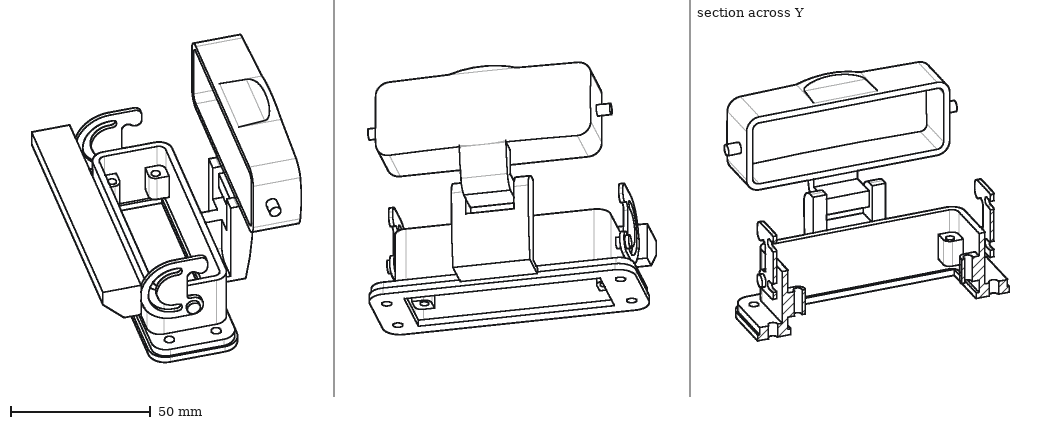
import cadquery as cq
import math


flange_length = 98.0
flange_width = 33.1
flange_radius = 6.4
flange_step_height = 2.45
upper_flange_length = 96.6
upper_flange_width = 31.0
upper_flange_radius = 5.5
flange_height = 5.4
flange_hole_radius = 1.8
flange_hole_x = 43.0
flange_hole_y = 8.7

housing_length = 79.2
housing_width = 29.6
housing_height = 26.2
corner_radius = 5.0
wall = 2.45
ledge = 1.1

post_top = 17.15
post_height = 10.0
post_edge = 2.7
post_x = 33.1
post_y = 8.1
post_radius = 2.45
post_hole_radius = 1.6

pivot_z = 19.2
pin_radius = 2.1
pin_head_radius = 2.45
pin_tip_x = 44.5
lever_thickness = 1.6
lever_outer_x = 43.1
lever_eye_radius = 3.9
lever_arc_radius = 12.9
lever_arc_y = -6.6
lever_arc_z = pivot_z - lever_eye_radius + lever_arc_radius
lever_top = lever_arc_z + lever_arc_radius
neck_fillet = 1.3
catch_z = 33.1
nose_radius = 2.4
nose_top_radius = 2.7
lever_slot_radius = 8.4
lever_slot_width = 3.1
lever_slot_end_y = -5.6
tang_width = 4.1

bar_length = 92.1
bar_back_y = -20.2
bar_depth = 14.2
bar_top = 36.2
bar_bottom = 22.3
bar_chamfer = 7.9

bracket_width = 28.3
bracket_bottom = 1.8
bracket_plate_top = 4.1
bracket_front_y = 22.4
bracket_foot_y = 28.1
bracket_back_y = 30.9
bracket_top = 36.3
bracket_top_radius = 5.9
bracket_middle_y = 30.2
bracket_middle_z = 16.3
bracket_floor = 21.6
fork_gap = 17.7
rib_width = 5.8
rib_fillet = 4.1
hinge_pin_radius = 1.5

cover_open_y = 23.5
cover_back_y = 42.8
cover_height = 29.4
cover_center_z = 57.5
cover_crown_x = 1.3
cover_crown_z = 0.9
cover_pin_y = 30.4
cover_pin_radius = 2.1

grip_width = 24.9
grip_height = 2.1
grip_front_y = 26.0
grip_pad_height = 0.2
grip_scoop_start_y = 35.8
grip_scoop_radius = 4.8

arm_width = 17.15
arm_inner_y = 35.0
arm_end_y = 24.6
arm_top = 33.3
arm_bottom = 26.9
arm_middle_y = 41.0
arm_middle_z = 36.6
arm_bend_y = 39.6
arm_bend_z = 31.4

overlap = 1.0


def rounded_block(length, width, height, radius):
    return cq.Workplane("XY").rect(length, width).extrude(height).edges("|Z").fillet(radius)


def prism_along_x(profile, x_min, x_max):
    """Extrude a closed YZ profile between two X positions."""
    return profile.extrude(x_max - x_min).translate((x_min, 0, 0))


def rod_along_x(y, z, radius, x_min, x_max):
    profile = cq.Workplane("YZ").center(y, z).circle(radius)
    return prism_along_x(profile, x_min, x_max)


def both_ends(shape):
    return shape.union(shape.mirror("YZ"))


def corner_points(x, y):
    return [(sx * x, sy * y) for sx in (-1, 1) for sy in (-1, 1)]


def make_housing():
    housing = (
        rounded_block(flange_length, flange_width, flange_step_height, flange_radius)
        .union(rounded_block(upper_flange_length, upper_flange_width, flange_height, upper_flange_radius))
        .union(rounded_block(housing_length, housing_width, housing_height, corner_radius))
    )
    return housing.union(make_bracket())


def hollow_housing(housing):
    cavity_length = housing_length - 2 * wall
    cavity_width = housing_width - 2 * wall
    cavity = rounded_block(cavity_length, cavity_width, housing_height, corner_radius - wall)
    opening = (
        cq.Workplane("XY")
        .rect(cavity_length - 2 * ledge, cavity_width - 2 * ledge)
        .extrude(housing_height)
    )
    housing = housing.cut(cavity.translate((0, 0, flange_step_height))).cut(opening)

    for x, y in corner_points(1, 1):
        housing = housing.union(make_post(x, y))
    post_holes = (
        cq.Workplane("XY")
        .pushPoints(corner_points(post_x, post_y))
        .circle(post_hole_radius)
        .extrude(post_top)
    )
    flange_holes = (
        cq.Workplane("XY")
        .pushPoints(corner_points(flange_hole_x, flange_hole_y))
        .circle(flange_hole_radius)
        .extrude(flange_height)
    )
    return housing.cut(post_holes).cut(flange_holes)


def make_post(side_x, side_y):
    """A screw post hung in one corner, rounded toward the middle and merging into the walls."""
    inner_x = post_x - post_edge
    inner_y = post_y - post_edge
    outer_x = (housing_length - wall) / 2
    outer_y = (housing_width - wall) / 2
    post = (
        cq.Workplane("XY")
        .moveTo(inner_x, outer_y)
        .lineTo(inner_x, inner_y + post_radius)
        .radiusArc((inner_x + post_radius, inner_y), -post_radius)
        .lineTo(outer_x, inner_y)
        .lineTo(outer_x, outer_y)
        .close()
        .extrude(post_height)
        .translate((0, 0, post_top - post_height))
    )
    mid_wall_block = rounded_block(
        housing_length - wall,
        housing_width - wall,
        post_top,
        corner_radius - wall / 2,
    )
    post = post.intersect(mid_wall_block)
    if side_x < 0:
        post = post.mirror("YZ")
    if side_y < 0:
        post = post.mirror("XZ")
    return post


def make_bracket():
    """Upright fork behind the housing, on a foot plate and a filleted central rib."""
    half_width = bracket_width / 2
    profile = (
        cq.Workplane("YZ")
        .moveTo(0, bracket_bottom)
        .lineTo(bracket_foot_y, bracket_bottom)
        .threePointArc(
            (bracket_middle_y, bracket_middle_z),
            (bracket_back_y, bracket_top - bracket_top_radius),
        )
        .radiusArc((bracket_back_y - bracket_top_radius, bracket_top), -bracket_top_radius)
        .lineTo(bracket_front_y, bracket_top)
        .lineTo(bracket_front_y, bracket_plate_top)
        .lineTo(0, bracket_plate_top)
        .close()
    )
    fork_slot = (
        cq.Workplane("XY", origin=(0, bracket_front_y, bracket_floor))
        .rect(fork_gap, bracket_width)
        .extrude(bracket_top)
    )
    half_rib = rib_width / 2
    rib = (
        cq.Workplane("XZ", origin=(0, bracket_front_y, 0))
        .moveTo(-half_rib, bracket_floor)
        .lineTo(-half_rib, bracket_plate_top + rib_fillet)
        .radiusArc((-half_rib - rib_fillet, bracket_plate_top), rib_fillet)
        .lineTo(half_rib + rib_fillet, bracket_plate_top)
        .radiusArc((half_rib, bracket_plate_top + rib_fillet), rib_fillet)
        .lineTo(half_rib, bracket_floor)
        .close()
        .extrude(bracket_front_y)
    )
    return prism_along_x(profile, -half_width, half_width).cut(fork_slot).union(rib)


def make_lever():
    """The -X lever plate: an eye on the pivot, a hooked catch and a curved slot."""
    x_min = -lever_outer_x
    x_max = x_min + lever_thickness

    diagonal = math.sqrt(0.5)
    nose_y = (pin_radius + nose_radius) * diagonal
    nose_z = catch_z + nose_y
    touch_y = pin_radius * diagonal
    touch_z = catch_z + touch_y
    nose_left = nose_y + nose_radius

    fillet_y = -pin_radius + neck_fillet
    eye_to_fillet = lever_eye_radius + neck_fillet
    fillet_z = pivot_z + math.sqrt(eye_to_fillet**2 - fillet_y**2)
    eye_share = lever_eye_radius / eye_to_fillet
    eye_start_y = eye_share * fillet_y
    eye_start_z = pivot_z + eye_share * (fillet_z - pivot_z)

    outline = (
        cq.Workplane("YZ")
        .moveTo(lever_arc_y, lever_top)
        .lineTo(nose_left - nose_top_radius, lever_top)
        .radiusArc((nose_left, lever_top - nose_top_radius), nose_top_radius)
        .lineTo(nose_left, nose_z)
        .threePointArc(
            (nose_y + nose_radius * diagonal, nose_z - nose_radius * diagonal),
            (nose_y, nose_z - nose_radius),
        )
        .radiusArc((touch_y, touch_z), nose_radius)
        .threePointArc((0, catch_z + pin_radius), (-pin_radius, catch_z))
        .lineTo(-pin_radius, fillet_z)
        .radiusArc((eye_start_y, eye_start_z), -neck_fillet)
        .threePointArc((lever_eye_radius, pivot_z), (0, pivot_z - lever_eye_radius))
        .lineTo(lever_arc_y, pivot_z - lever_eye_radius)
        .threePointArc((lever_arc_y - lever_arc_radius, lever_arc_z), (lever_arc_y, lever_top))
        .close()
    )
    slot_inner = lever_slot_radius - lever_slot_width / 2
    slot_outer = lever_slot_radius + lever_slot_width / 2
    slot_cap_y = lever_slot_end_y + lever_slot_width / 2
    slot = (
        cq.Workplane("YZ")
        .moveTo(lever_arc_y, lever_arc_z + slot_outer)
        .lineTo(lever_slot_end_y, lever_arc_z + slot_outer)
        .threePointArc(
            (slot_cap_y, lever_arc_z + lever_slot_radius),
            (lever_slot_end_y, lever_arc_z + slot_inner),
        )
        .lineTo(lever_arc_y, lever_arc_z + slot_inner)
        .threePointArc((lever_arc_y - slot_inner, lever_arc_z), (lever_arc_y, lever_arc_z - slot_inner))
        .lineTo(lever_slot_end_y, lever_arc_z - slot_inner)
        .threePointArc(
            (slot_cap_y, lever_arc_z - lever_slot_radius),
            (lever_slot_end_y, lever_arc_z - slot_outer),
        )
        .lineTo(lever_arc_y, lever_arc_z - slot_outer)
        .threePointArc((lever_arc_y - slot_outer, lever_arc_z), (lever_arc_y, lever_arc_z + slot_outer))
        .close()
    )
    tang_root_y = lever_arc_y - lever_arc_radius + overlap
    tang = (
        cq.Workplane("YZ")
        .center((tang_root_y + bar_back_y - overlap) / 2, lever_arc_z)
        .rect(tang_root_y - bar_back_y + overlap, tang_width)
    )
    plate = prism_along_x(outline, x_min, x_max).cut(prism_along_x(slot, x_min, x_max))
    return plate.union(prism_along_x(tang, x_min, x_max))


def make_pivot():
    """The -X pivot pin, rooted in the housing wall, with a head outside the lever."""
    root_x = -(housing_length - wall) / 2
    pin = rod_along_x(0, pivot_z, pin_radius, -lever_outer_x, root_x)
    head = rod_along_x(0, pivot_z, pin_head_radius, -pin_tip_x, -lever_outer_x)
    return pin.union(head)


def make_bar():
    bar_front_y = bar_back_y - bar_depth
    profile = (
        cq.Workplane("YZ")
        .moveTo(bar_back_y, bar_top)
        .lineTo(bar_front_y, bar_top)
        .lineTo(bar_front_y, bar_bottom + bar_chamfer)
        .lineTo(bar_front_y + bar_chamfer, bar_bottom)
        .lineTo(bar_back_y, bar_bottom)
        .close()
    )
    return prism_along_x(profile, -bar_length / 2, bar_length / 2)


def crowned_body(back_y):
    """A round body whose +Y side is crowned along both X and Z, reaching back_y at its middle."""
    half_length = housing_length / 2
    half_height = cover_height / 2
    crown_radius = (half_height**2 + cover_crown_z**2) / (2 * cover_crown_z)
    edge_y = back_y - cover_crown_x
    return (
        cq.Workplane("XY", origin=(0, 0, cover_center_z))
        .moveTo(-half_length, edge_y)
        .threePointArc((0, back_y), (half_length, edge_y))
        .lineTo(half_length, back_y - crown_radius)
        .lineTo(-half_length, back_y - crown_radius)
        .close()
        .revolve(360, (0, back_y - crown_radius), (1, back_y - crown_radius))
    )


def cover_block(length, height, radius, back_y):
    block = (
        cq.Workplane("XZ", origin=(0, cover_open_y, cover_center_z))
        .rect(length, height)
        .extrude(cover_open_y - cover_back_y)
        .edges("|Y")
        .fillet(radius)
    )
    return block.intersect(crowned_body(back_y))


def make_grip():
    """A crowned thumb grip with a slightly sloping pad in front of it and a concave scoop between them."""
    base_z = cover_center_z + cover_height / 2
    half_width = grip_width / 2
    ridge = (
        cq.Workplane("XZ", origin=(0, grip_front_y, base_z))
        .moveTo(half_width, 0)
        .threePointArc((0, grip_height), (-half_width, 0))
        .lineTo(-half_width, -overlap)
        .lineTo(half_width, -overlap)
        .close()
        .extrude(grip_front_y - cover_back_y)
    )
    pad_z = base_z + grip_pad_height
    scoop_end_y = grip_scoop_start_y + grip_scoop_radius
    scoop = (
        cq.Workplane("YZ")
        .moveTo(grip_front_y, base_z)
        .lineTo(grip_scoop_start_y, pad_z)
        .radiusArc((scoop_end_y, pad_z + grip_scoop_radius), -grip_scoop_radius)
        .lineTo(grip_front_y, pad_z + grip_scoop_radius)
        .close()
    )
    ridge = ridge.cut(prism_along_x(scoop, -half_width, half_width))
    return ridge.intersect(crowned_body(cover_back_y))


def make_arm():
    """The bent arm below the cover and the hinge pin that joins it to the fork."""
    arm_root_z = cover_center_z - cover_height / 2
    arm_root_y = cover_back_y - cover_crown_z
    profile = (
        cq.Workplane("YZ")
        .moveTo(arm_inner_y, arm_root_z + overlap)
        .lineTo(arm_root_y, arm_root_z + overlap)
        .lineTo(arm_root_y, arm_root_z)
        .threePointArc((arm_middle_y, arm_middle_z), (arm_bend_y, arm_bend_z))
        .tangentArcPoint((arm_inner_y, arm_bottom), relative=False)
        .lineTo(arm_end_y, arm_bottom)
        .lineTo(arm_end_y, arm_top)
        .lineTo(arm_inner_y, arm_top)
        .close()
    )
    hinge_y = (arm_end_y + bracket_back_y) / 2
    hinge_z = (arm_bottom + arm_top) / 2
    half_pin = fork_gap / 2 + overlap
    arm = prism_along_x(profile, -arm_width / 2, arm_width / 2)
    return arm.union(rod_along_x(hinge_y, hinge_z, hinge_pin_radius, -half_pin, half_pin))


def make_cover():
    shell = cover_block(housing_length, cover_height, corner_radius, cover_back_y)
    shell = shell.union(make_grip()).union(make_arm())
    pocket = cover_block(
        housing_length - 2 * wall,
        cover_height - 2 * wall,
        corner_radius - wall,
        cover_back_y - wall,
    )
    root_x = -(housing_length - wall) / 2
    pin = rod_along_x(cover_pin_y, cover_center_z, cover_pin_radius, -pin_tip_x, root_x)
    return shell.cut(pocket).union(both_ends(pin))


result = (
    hollow_housing(make_housing())
    .union(both_ends(make_pivot().union(make_lever())))
    .union(make_bar())
    .union(make_cover())
)